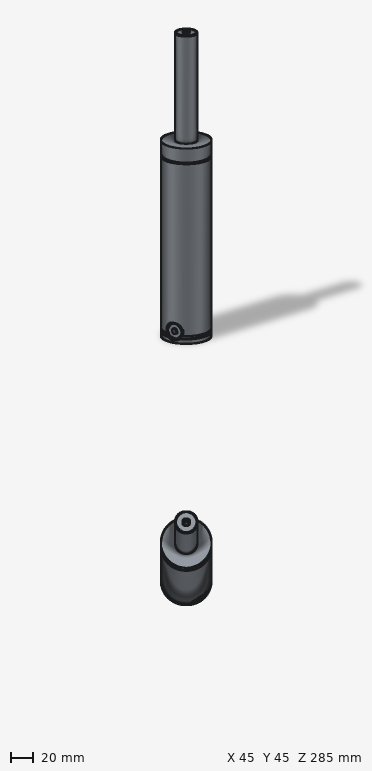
import cadquery as cq

total_height = 285.0
body_diameter = 45.0
body_radius = body_diameter / 2

flange_height = 4.3
groove_top = 7.5
groove_diameter = 40.0

cap_top = 183.5
cap_bottom = 170.1
parting_groove_width = 1.5
parting_groove_depth = 0.43

rod_diameter = 20.0
rod_chamfer = 0.9
rod_hole_diameter = 5.0
rod_hole_mouth_diameter = 6.8
rod_hole_depth = 11.5

port_height = 10.5
port_plug_diameter = 14.0
port_bore_diameter = 16.5
port_bore_depth = 2.5
port_face_depth = 1.5
port_hole_diameter = 5.0
port_hole_depth = 5.7
port_face_y = -body_radius + port_face_depth
port_bore_floor_y = -body_radius + port_bore_depth


def disc(diameter, bottom, top):
    """Cylinder on the Z axis between two heights."""
    return cq.Workplane("XY").workplane(offset=bottom).circle(diameter / 2).extrude(top - bottom)


def ring_groove(floor_diameter, bottom, top):
    """Ring of material to remove around the body."""
    return disc(body_diameter, bottom, top).cut(disc(floor_diameter, bottom, top))


def port_disc(diameter, start_y, length):
    """Cylinder on the port axis, growing outward (-Y) for a positive length."""
    plane = cq.Workplane("XZ", origin=(0, start_y, port_height))
    return plane.circle(diameter / 2).extrude(length)


def make_body():
    floor_diameter = body_diameter - 2 * parting_groove_depth
    body = disc(body_diameter, 0, cap_top)
    body = body.cut(ring_groove(groove_diameter, flange_height, groove_top))
    return body.cut(ring_groove(floor_diameter, cap_bottom - parting_groove_width, cap_bottom))


def make_rod():
    rod = disc(rod_diameter, cap_top, total_height).faces(">Z").chamfer(rod_chamfer)
    return rod.faces(">Z").workplane().cskHole(
        rod_hole_diameter, rod_hole_mouth_diameter, 90, depth=rod_hole_depth
    )


def add_port(body):
    """Plug standing in a slightly wider bore, with a blind hole in its face."""
    bore = port_disc(port_bore_diameter, port_bore_floor_y, port_bore_depth)
    plug = port_disc(port_plug_diameter, 0, -port_face_y)
    hole = port_disc(port_hole_diameter, port_face_y, -port_hole_depth)
    return body.cut(bore).union(plug).cut(hole)


result = add_port(make_body()).union(make_rod())